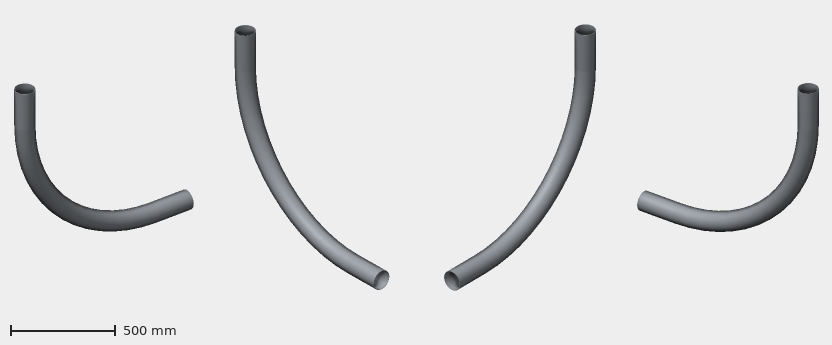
import cadquery as cq
import math

overall_size = 1016.0
outer_diameter = 102.0
inner_diameter = 98.0
leg_length = 203.0

outer_radius = outer_diameter / 2
bend_radius = overall_size - leg_length - outer_radius

centreline_end = overall_size - outer_radius
bend_middle = bend_radius * (1 - math.cos(math.radians(45)))

centreline = (
    cq.Workplane("YZ")
    .moveTo(0, centreline_end)
    .lineTo(0, bend_radius)
    .threePointArc((bend_middle, bend_middle), (bend_radius, 0))
    .lineTo(centreline_end, 0)
)

result = (
    cq.Workplane("XY", origin=(0, 0, centreline_end))
    .circle(outer_radius)
    .circle(inner_diameter / 2)
    .sweep(centreline)
)